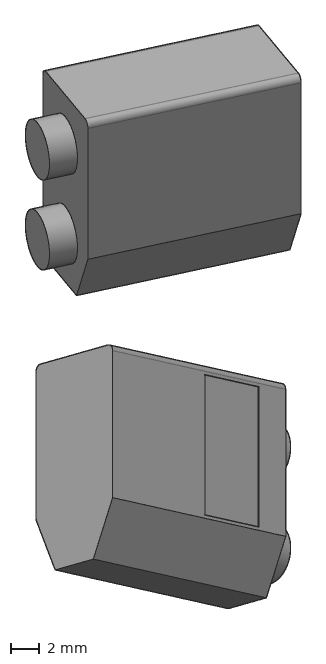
import cadquery as cq

overall_length = 18.1
housing_width = 8.0
housing_height = 15.0
top_edge_radius = 0.5
bottom_taper_height = 4.0
bottom_taper_inset = 2.01

pin_diameter = 4.3
pin_length = 2.1
pin_spacing = 7.2

recess_length = 5.0
recess_height = 10.01
recess_depth = 0.1
recess_front_gap = 2.48
recess_top_gap = 0.75

housing_length = overall_length - pin_length
housing_front = pin_length
half_width = housing_width / 2
pin_heights = [housing_height / 2 + side * pin_spacing / 2 for side in (-1, 1)]


def make_housing():
    """Block with a tapered bottom, rounded top edges and a side recess."""
    bottom_half_width = half_width - bottom_taper_inset
    block = (
        cq.Workplane("XZ", origin=(0, overall_length, 0))
        .moveTo(-bottom_half_width, 0)
        .lineTo(bottom_half_width, 0)
        .lineTo(half_width, bottom_taper_height)
        .lineTo(half_width, housing_height)
        .lineTo(-half_width, housing_height)
        .lineTo(-half_width, bottom_taper_height)
        .close()
        .extrude(housing_length)
    )
    block = block.faces(">Z").edges("|Y").fillet(top_edge_radius)
    return block.cut(make_recess_cutter())


def make_recess_cutter():
    """Box that removes the shallow recess from the -X side."""
    bottom = housing_height - recess_top_gap - recess_height
    corner = (-half_width, housing_front + recess_front_gap, bottom)
    return cq.Workplane("XY", origin=corner).box(
        recess_depth, recess_length, recess_height, centered=False
    )


def make_pin(height):
    """Round pin standing on the front face, with its axis at the given height."""
    return (
        cq.Workplane("XZ", origin=(0, housing_front, height))
        .circle(pin_diameter / 2)
        .extrude(pin_length)
    )


housing = make_housing()
pins = [make_pin(height) for height in pin_heights]

result = cq.Compound.makeCompound([housing.val(), *[pin.val() for pin in pins]])